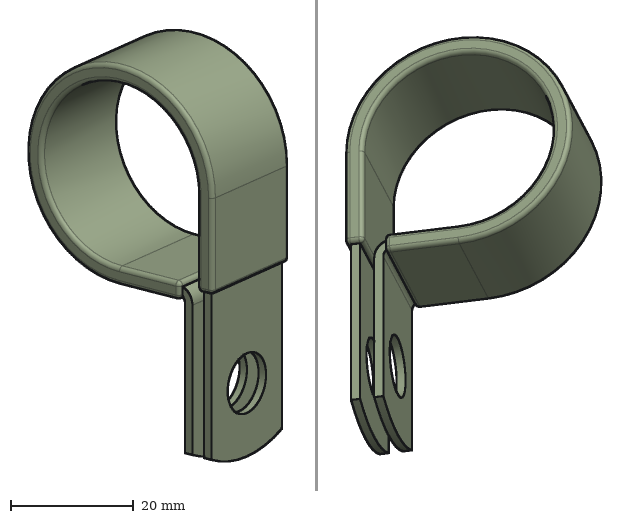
import cadquery as cq
import math


bore_radius = 15.875
strap_thickness = 1.524
strap_width = 19.05
cushion_cover = 0.79375
leg_gap = 2.38125
bend_inner_radius = 1.4
cushion_run_end = 12.29
hole_diameter = 10.31875
hole_drop = 34.925
tip_drop = 47.625
tip_radius = 22.225

strap_inner_radius = bore_radius + cushion_cover
strap_outer_radius = strap_inner_radius + strap_thickness
cushion_outer_radius = strap_outer_radius + cushion_cover
cushion_width = strap_width + 2 * cushion_cover
cushion_drop = strap_inner_radius
near_leg_outer = strap_inner_radius - leg_gap
near_leg_inner = near_leg_outer - strap_thickness
bend_outer_radius = bend_inner_radius + strap_thickness
bend_center_x = near_leg_outer - bend_outer_radius
bend_center_z = -strap_inner_radius - bend_outer_radius
tip_sagitta = tip_radius - math.sqrt(tip_radius**2 - (strap_width / 2) ** 2)


def extrude_about_mid_plane(profile, width):
    """Extrude an XZ profile equally to both sides of Y = 0."""
    return profile.extrude(width / 2, both=True)


def loop_midpoint(radius):
    """Point halfway along the three-quarter loop, on its upper left."""
    return (-radius * math.cos(math.pi / 4), radius * math.sin(math.pi / 4))


def bend_midpoint(radius):
    """Point halfway round the quarter bend above the near leg."""
    offset = radius * math.cos(math.pi / 4)
    return (bend_center_x + offset, bend_center_z + offset)


def make_cushion():
    """Loop cover with one horizontal and one vertical run, rounded on all outer edges."""
    profile = (
        cq.Workplane("XZ")
        .moveTo(bore_radius, -cushion_drop)
        .lineTo(bore_radius, 0)
        .threePointArc(loop_midpoint(bore_radius), (0, -bore_radius))
        .lineTo(cushion_run_end, -bore_radius)
        .lineTo(cushion_run_end, -cushion_outer_radius)
        .lineTo(0, -cushion_outer_radius)
        .threePointArc(loop_midpoint(cushion_outer_radius), (cushion_outer_radius, 0))
        .lineTo(cushion_outer_radius, -cushion_drop)
        .close()
    )
    cushion = extrude_about_mid_plane(profile, cushion_width)
    run_end_center = (cushion_run_end, 0, -(bore_radius + cushion_outer_radius) / 2)
    leg_end_center = ((bore_radius + cushion_outer_radius) / 2, 0, -cushion_drop)
    rounded_edges = cushion.faces("<Y or >Y").edges()
    for end_center in (run_end_center, leg_end_center):
        end_face = cushion.faces(cq.selectors.NearestToPointSelector(end_center))
        rounded_edges = rounded_edges.add(end_face.edges("|Y"))
    return rounded_edges.fillet(cushion_cover)


def make_strap():
    """Metal strap: far leg, loop, horizontal run, bend and near leg."""
    profile = (
        cq.Workplane("XZ")
        .moveTo(strap_inner_radius, -tip_drop)
        .lineTo(strap_inner_radius, 0)
        .threePointArc(loop_midpoint(strap_inner_radius), (0, -strap_inner_radius))
        .lineTo(bend_center_x, -strap_inner_radius)
        .threePointArc(bend_midpoint(bend_outer_radius), (near_leg_outer, bend_center_z))
        .lineTo(near_leg_outer, -tip_drop)
        .lineTo(near_leg_inner, -tip_drop)
        .lineTo(near_leg_inner, bend_center_z)
        .threePointArc(bend_midpoint(bend_inner_radius), (bend_center_x, -strap_outer_radius))
        .lineTo(0, -strap_outer_radius)
        .threePointArc(loop_midpoint(strap_outer_radius), (strap_outer_radius, 0))
        .lineTo(strap_outer_radius, -tip_drop)
        .close()
    )
    return extrude_about_mid_plane(profile, strap_width)


def make_leg_outline():
    """Side outline of the strap, rounded at the bottom, as a block along X."""
    half_width = strap_width / 2
    return (
        cq.Workplane("YZ")
        .moveTo(-half_width, cushion_outer_radius)
        .lineTo(-half_width, -tip_drop + tip_sagitta)
        .threePointArc((0, -tip_drop), (half_width, -tip_drop + tip_sagitta))
        .lineTo(half_width, cushion_outer_radius)
        .close()
        .extrude(cushion_outer_radius, both=True)
    )


def make_bolt_hole():
    """Cylinder along X that passes through both legs."""
    return (
        cq.Workplane("YZ")
        .center(0, -hole_drop)
        .circle(hole_diameter / 2)
        .extrude(cushion_outer_radius)
    )


strap = make_strap().intersect(make_leg_outline()).cut(make_bolt_hole())
result = make_cushion().union(strap)